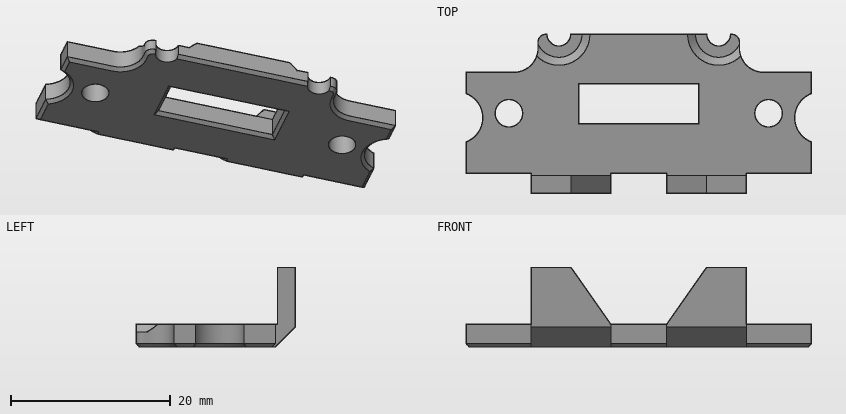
import cadquery as cq

length = 43.2
plate_depth = 17.4
plate_thickness = 2.9
wing_depth = 12.65
neck_width = 25.25
neck_root_radius = 3.0
neck_corner_radius = 1.0
bottom_chamfer = 0.45

bite_radius = 3.25
bite_depth = 2.07
bite_y = 6.95

hole_diameter = 3.4
hole_spacing = 32.5
hole_y = 7.5
window_width = 15.0
window_depth = 4.95
window_front_y = 6.2

seat_spacing = 20.0
seat_hole_radius = 1.45
seat_floor_radius = 2.9
seat_recess = 1.0

tab_overhang = 2.5
tab_gap = 0.25
tab_top_z = 10.0
tab_outer_x = 13.5
tab_width = 10.0
tab_top_width = 5.0


def make_plate():
    """Outline with end bites and window, chamfered along the bottom."""
    wings = cq.Workplane().box(length, wing_depth, plate_thickness, centered=(True, False, False))
    neck = cq.Workplane().box(neck_width, plate_depth, plate_thickness, centered=(True, False, False))
    root_edges = cq.selectors.BoxSelector(
        (-neck_width / 2 - 0.45, wing_depth - 0.45, 0),
        (neck_width / 2 + 0.45, wing_depth + 0.45, plate_thickness),
    )
    plate = wings.union(neck)
    plate = plate.edges("|Z").edges(root_edges).fillet(neck_root_radius)
    plate = plate.edges("|Z and >Y").fillet(neck_corner_radius)

    bite_x = length / 2 - bite_depth + bite_radius
    bites = (
        cq.Workplane()
        .pushPoints([(-bite_x, bite_y), (bite_x, bite_y)])
        .circle(bite_radius)
        .extrude(plate_thickness)
    )
    window = (
        cq.Workplane()
        .box(window_width, window_depth, plate_thickness, centered=(True, False, False))
        .translate((0, window_front_y, 0))
    )
    return plate.cut(bites).cut(window).faces("<Z").edges().chamfer(bottom_chamfer)


def make_holes():
    return (
        cq.Workplane()
        .pushPoints([(-hole_spacing / 2, hole_y), (hole_spacing / 2, hole_y)])
        .circle(hole_diameter / 2)
        .extrude(plate_thickness)
    )


def make_seat_cutter(x):
    """Screw hole with a flat-floored recess whose wall flares out at 45 degrees."""
    floor_z = plate_thickness - seat_recess
    half_section = [
        (0, 0),
        (seat_hole_radius, 0),
        (seat_hole_radius, floor_z),
        (seat_floor_radius, floor_z),
        (seat_floor_radius + seat_recess, plate_thickness),
        (0, plate_thickness),
    ]
    cutter = cq.Workplane("XZ").polyline(half_section).close().revolve(360, (0, 0), (0, 1))
    return cutter.translate((x, plate_depth, 0))


def make_tab():
    """Left tab: side section trimmed by its sloping front outline."""
    side_section = [
        (bottom_chamfer, 0),
        (0, 0),
        (-tab_overhang, tab_overhang),
        (-tab_overhang, tab_top_z),
        (-tab_gap, tab_top_z),
        (-tab_gap, plate_thickness),
        (bottom_chamfer, plate_thickness),
    ]
    front_outline = [
        (-tab_outer_x, 0),
        (-tab_outer_x + tab_width, 0),
        (-tab_outer_x + tab_width, plate_thickness),
        (-tab_outer_x + tab_top_width, tab_top_z),
        (-tab_outer_x, tab_top_z),
    ]
    bar = cq.Workplane("YZ").polyline(side_section).close().extrude(length / 2, both=True)
    outline = cq.Workplane("XZ").polyline(front_outline).close().extrude(plate_depth, both=True)
    return bar.intersect(outline)


result = make_plate().cut(make_holes())
for side in (-1, 1):
    result = result.cut(make_seat_cutter(side * seat_spacing / 2))

left_tab = make_tab()
result = result.union(left_tab).union(left_tab.mirror("YZ"))